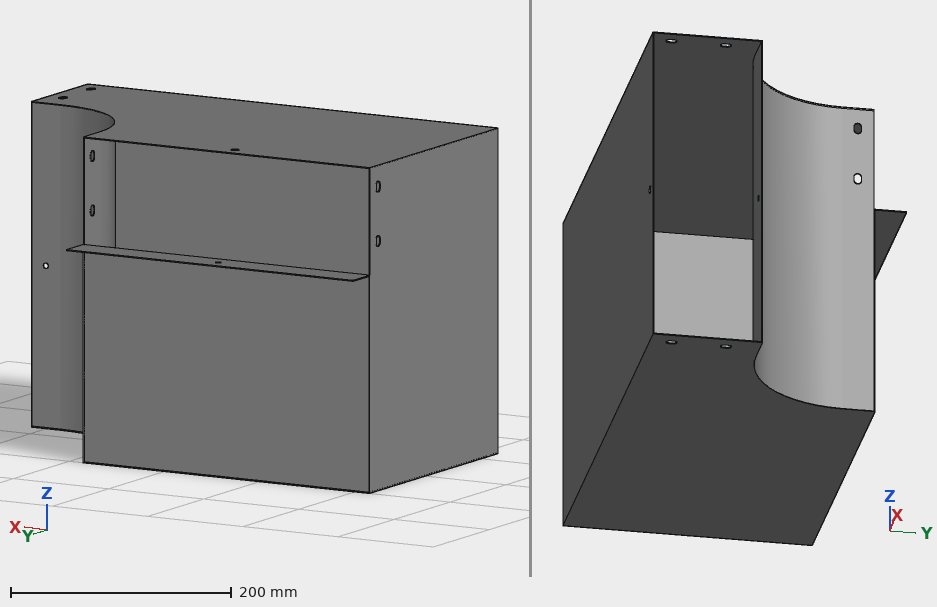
import cadquery as cq


sheet = 1.0
length = 431.0
height = 300.0
depth = 229.0
rear_port_width = 301.0
side_port_depth = 101.0
inner_curve_radius = 99.0

closing_plate_height = 201.0
flange_depth = 30.0

screw_hole_diameter = 7.0
pilot_hole_diameter = 5.0
slot_width = 7.0
slot_length = 10.0
slot_pitch = 50.0
slot_offset = 20.0
port_inset = 15.0

slot_offsets = [slot_offset, slot_offset + slot_pitch]
rear_hole_x = rear_port_width / 2
side_hole_x = length - port_inset
rear_fixing_y = depth - port_inset
flange_hole_y = depth + port_inset


def duct_block(inset):
    """Block with a concave corner; its walls are set in from the outer faces, its ports are not."""
    corner_x = rear_port_width - inset
    corner_y = side_port_depth - inset
    radius = inner_curve_radius + inset
    return (
        cq.Workplane("XY", origin=(0, 0, inset))
        .moveTo(inset, inset)
        .lineTo(length, inset)
        .lineTo(length, corner_y)
        .lineTo(corner_x + radius, corner_y)
        .radiusArc((corner_x, corner_y + radius), radius)
        .lineTo(corner_x, depth)
        .lineTo(inset, depth)
        .close()
        .extrude(height - 2 * inset)
    )


def closing_plate():
    """Angle that covers the lower part of the rear port and carries the flange on top."""
    profile = (
        cq.Workplane("YZ")
        .moveTo(depth, 0)
        .lineTo(depth, closing_plate_height)
        .lineTo(depth + flange_depth, closing_plate_height)
        .lineTo(depth + flange_depth, closing_plate_height - sheet)
        .lineTo(depth + sheet, closing_plate_height - sheet)
        .lineTo(depth + sheet, 0)
        .close()
    )
    return profile.extrude(rear_port_width)


def side_port_slots():
    """Slots through the top and bottom sheets beside the +X port."""
    centers = [(side_hole_x, y) for y in slot_offsets]
    return cq.Workplane("XY").pushPoints(centers).slot2D(slot_length, slot_width, 90).extrude(height)


def rear_port_slots():
    """Slots through both side walls beside the +Y port."""
    centers = [(rear_fixing_y, height - offset) for offset in slot_offsets]
    return cq.Workplane("YZ").pushPoints(centers).slot2D(slot_length, slot_width, 90).extrude(rear_port_width)


def vertical_hole(y, top, diameter):
    """Hole down through one sheet whose upper face is at the given height."""
    return cq.Workplane("XY", origin=(rear_hole_x, y, top - sheet)).circle(diameter / 2).extrude(sheet)


def crosswise_hole(y, diameter):
    """Hole along Y through one sheet whose +Y face is at the given place."""
    return cq.Workplane("XZ", origin=(side_hole_x, y, height / 2)).circle(diameter / 2).extrude(sheet)


duct = duct_block(0).cut(duct_block(sheet))
duct = duct.union(closing_plate())
duct = duct.cut(side_port_slots())
duct = duct.cut(rear_port_slots())
duct = duct.cut(vertical_hole(rear_fixing_y, height, screw_hole_diameter))
duct = duct.cut(vertical_hole(flange_hole_y, closing_plate_height, pilot_hole_diameter))
duct = duct.cut(crosswise_hole(sheet, screw_hole_diameter))
duct = duct.cut(crosswise_hole(side_port_depth, pilot_hole_diameter))

result = duct